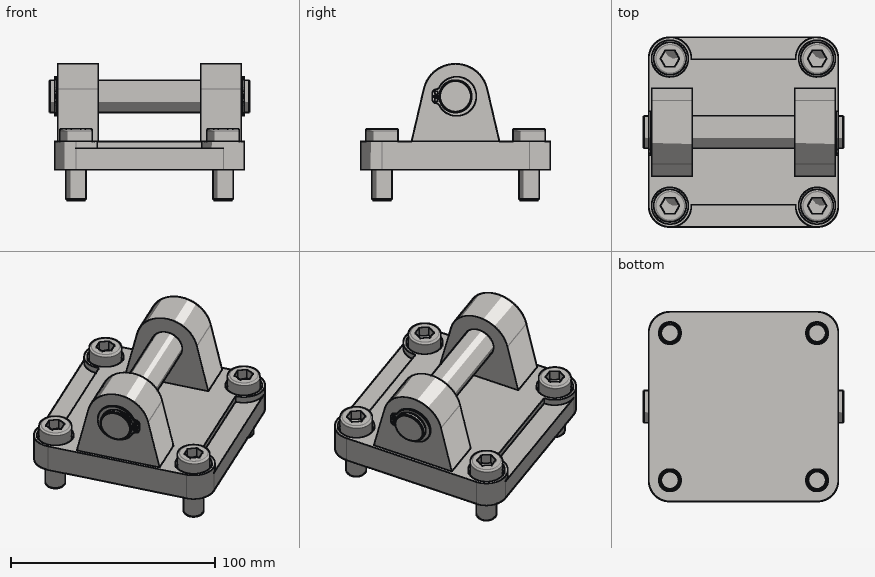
import cadquery as cq
import math


PLATE_SIDE = 93.0
PLATE_THICKNESS = 14.0
CORNER_RADIUS = 10.5
SCREW_OFFSET = PLATE_SIDE / 2 - CORNER_RADIUS
CLEARANCE_DIAMETER = 11.0
COUNTERBORE_DIAMETER = 18.0
COUNTERBORE_DEPTH = 3.8
EDGE_STEP_DEPTH = 3.3
EDGE_STEP_START = 35.6

LUG_OUTER_X = 45.0
LUG_THICKNESS = 20.0
LUG_INNER_X = LUG_OUTER_X - LUG_THICKNESS
LUG_BASE_HALF_WIDTH = 21.6
LUG_TOP_RADIUS = 16.0
PIN_ABOVE_PLATE = 22.05
PIN_HEIGHT = PLATE_THICKNESS + PIN_ABOVE_PLATE

PIN_LENGTH = 98
PIN_DIAMETER = 16.0
PIN_CHAMFER = 0.5
GROOVE_DIAMETER = 15.0

RING_THICKNESS = 1
RING_GAP = 0.5
RING_RADIUS = 9.6
RING_OFFSET = 0.6
RING_SLOT_WIDTH = 0.735
EAR_REACH = 11.4
EAR_HALF_HEIGHT = 3.4
EAR_CORNER_RADIUS = 2.1
EAR_ROOT_RADIUS = 2
EAR_HOLE_DIAMETER = 1.7
EAR_HOLE_REACH = 9.4
EAR_HOLE_OFFSET = 1.8
RING_INNER_X = LUG_OUTER_X + RING_GAP
RING_START_XS = (-RING_INNER_X - RING_THICKNESS, RING_INNER_X)

HEAD_DIAMETER = 16.0
HEAD_HEIGHT = 10.0
HEAD_FILLET = 1
SHANK_DIAMETER = 10.0
SHANK_LENGTH = 25.2
SHANK_CHAMFER_LENGTH = 1
SHANK_CHAMFER_WIDTH = 0.8
SOCKET_SIDES = 6
SOCKET_ACROSS_FLATS = 8.0
SOCKET_DEPTH = 5.0
SOCKET_CONE_SLOPE_DEGREES = 30
SCREW_SEAT_Z = PLATE_THICKNESS - COUNTERBORE_DEPTH

SCREW_POSITIONS = [(x, y) for x in (-SCREW_OFFSET, SCREW_OFFSET) for y in (-SCREW_OFFSET, SCREW_OFFSET)]


def make_plate():
    """Rounded plate with a lowered strip between the corner bosses on both Y edges."""
    plate = cq.Workplane("XY").rect(PLATE_SIDE, PLATE_SIDE).extrude(PLATE_THICKNESS)
    plate = plate.edges("|Z").fillet(CORNER_RADIUS)

    step_floor = cq.Workplane("XY", origin=(0, 0, PLATE_THICKNESS - EDGE_STEP_DEPTH))
    strip_width = PLATE_SIDE / 2 - EDGE_STEP_START
    strip_center = EDGE_STEP_START + strip_width / 2
    strips = (
        step_floor.pushPoints([(0, -strip_center), (0, strip_center)])
        .rect(2 * SCREW_OFFSET, strip_width)
        .extrude(EDGE_STEP_DEPTH)
    )
    bosses = step_floor.pushPoints(SCREW_POSITIONS).circle(CORNER_RADIUS).extrude(EDGE_STEP_DEPTH)
    return plate.cut(strips.cut(bosses))


def make_lug(start_x):
    """Tapered lug whose straight flanks run tangent into a rounded top centred on the pin."""
    base_distance = math.hypot(LUG_BASE_HALF_WIDTH, PIN_ABOVE_PLATE)
    base_angle = math.atan2(PIN_ABOVE_PLATE, LUG_BASE_HALF_WIDTH)
    flank_angle = math.acos(LUG_TOP_RADIUS / base_distance) - base_angle
    tangent_y = LUG_TOP_RADIUS * math.cos(flank_angle)
    tangent_z = PIN_HEIGHT + LUG_TOP_RADIUS * math.sin(flank_angle)
    return (
        cq.Workplane("YZ", origin=(start_x, 0, 0))
        .moveTo(-LUG_BASE_HALF_WIDTH, PLATE_THICKNESS)
        .lineTo(LUG_BASE_HALF_WIDTH, PLATE_THICKNESS)
        .lineTo(tangent_y, tangent_z)
        .threePointArc((0, PIN_HEIGHT + LUG_TOP_RADIUS), (-tangent_y, tangent_z))
        .close()
        .extrude(LUG_THICKNESS)
    )


def make_bracket():
    """Plate with two lugs, bored for the pin and counterbored for the screws."""
    bracket = make_plate()
    for lug_start_x in (-LUG_OUTER_X, LUG_INNER_X):
        bracket = bracket.union(make_lug(lug_start_x))

    pin_bore = (
        cq.Workplane("YZ", origin=(-PIN_LENGTH / 2, 0, PIN_HEIGHT))
        .circle(PIN_DIAMETER / 2)
        .extrude(PIN_LENGTH)
    )
    clearance_holes = (
        cq.Workplane("XY")
        .pushPoints(SCREW_POSITIONS)
        .circle(CLEARANCE_DIAMETER / 2)
        .extrude(PLATE_THICKNESS)
    )
    counterbores = (
        cq.Workplane("XY", origin=(0, 0, SCREW_SEAT_Z))
        .pushPoints(SCREW_POSITIONS)
        .circle(COUNTERBORE_DIAMETER / 2)
        .extrude(COUNTERBORE_DEPTH)
    )
    return bracket.cut(pin_bore).cut(clearance_holes).cut(counterbores)


def make_pin():
    """Chamfered pin with a groove for a retaining ring near each end."""
    pin = (
        cq.Workplane("YZ", origin=(-PIN_LENGTH / 2, 0, PIN_HEIGHT))
        .circle(PIN_DIAMETER / 2)
        .extrude(PIN_LENGTH)
        .faces("<X or >X")
        .chamfer(PIN_CHAMFER)
    )
    for groove_start_x in RING_START_XS:
        groove = (
            cq.Workplane("YZ", origin=(groove_start_x, 0, PIN_HEIGHT))
            .circle(PIN_DIAMETER / 2)
            .circle(GROOVE_DIAMETER / 2)
            .extrude(RING_THICKNESS)
        )
        pin = pin.cut(groove)
    return pin


def make_retaining_ring(start_x):
    """Eccentric open ring with two drilled ears on its -Y side."""
    ring_plane = cq.Workplane("YZ", origin=(start_x, 0, PIN_HEIGHT))
    body = ring_plane.center(RING_OFFSET, 0).circle(RING_RADIUS).extrude(RING_THICKNESS)
    ears = (
        ring_plane.center(-EAR_REACH / 2, 0)
        .rect(EAR_REACH, 2 * EAR_HALF_HEIGHT)
        .extrude(RING_THICKNESS)
        .edges("|X and <Y")
        .fillet(EAR_CORNER_RADIUS)
    )
    root_y = RING_OFFSET - math.sqrt(RING_RADIUS**2 - EAR_HALF_HEIGHT**2)
    ring = body.union(ears)
    for root_z in (PIN_HEIGHT - EAR_HALF_HEIGHT, PIN_HEIGHT + EAR_HALF_HEIGHT):
        root = cq.selectors.NearestToPointSelector((start_x + RING_THICKNESS / 2, root_y, root_z))
        ring = ring.edges("|X").edges(root).fillet(EAR_ROOT_RADIUS)

    bore = ring_plane.circle(GROOVE_DIAMETER / 2).extrude(RING_THICKNESS)
    slot = ring_plane.center(-EAR_REACH / 2, 0).rect(EAR_REACH, RING_SLOT_WIDTH).extrude(RING_THICKNESS)
    ear_holes = (
        ring_plane.pushPoints([(-EAR_HOLE_REACH, -EAR_HOLE_OFFSET), (-EAR_HOLE_REACH, EAR_HOLE_OFFSET)])
        .circle(EAR_HOLE_DIAMETER / 2)
        .extrude(RING_THICKNESS)
    )
    return ring.cut(bore).cut(slot).cut(ear_holes)


def make_socket():
    """Hexagonal socket, open upwards at Z = HEAD_HEIGHT, with a conical bottom."""
    across_corners = SOCKET_ACROSS_FLATS / math.cos(math.pi / SOCKET_SIDES)
    cone_radius = across_corners / 2
    cone_depth = cone_radius * math.tan(math.radians(SOCKET_CONE_SLOPE_DEGREES))
    floor_z = HEAD_HEIGHT - SOCKET_DEPTH
    hexagon = (
        cq.Workplane("XY", origin=(0, 0, floor_z - cone_depth))
        .polygon(SOCKET_SIDES, across_corners)
        .extrude(SOCKET_DEPTH + cone_depth)
    )
    drilled_profile = (
        cq.Workplane("XZ")
        .moveTo(0, floor_z - cone_depth)
        .lineTo(cone_radius, floor_z)
        .lineTo(cone_radius, HEAD_HEIGHT)
        .lineTo(0, HEAD_HEIGHT)
        .close()
    )
    return hexagon.intersect(drilled_profile.revolve(360, (0, 0, 0), (0, 1, 0)))


def make_screw(position):
    """Socket head screw seated on the floor of its counterbore."""
    head = cq.Workplane("XY").circle(HEAD_DIAMETER / 2).extrude(HEAD_HEIGHT)
    head = head.faces(">Z").edges().fillet(HEAD_FILLET)
    shank = cq.Workplane("XY").circle(SHANK_DIAMETER / 2).extrude(-SHANK_LENGTH)
    shank = shank.faces("<Z").chamfer(SHANK_CHAMFER_LENGTH, SHANK_CHAMFER_WIDTH)
    x, y = position
    return head.union(shank).cut(make_socket()).translate((x, y, SCREW_SEAT_Z))


bracket = make_bracket()
pin = make_pin()
retaining_rings = [make_retaining_ring(x) for x in RING_START_XS]
screws = [make_screw(position) for position in SCREW_POSITIONS]

result = cq.Compound.makeCompound(
    [
        bracket.val(),
        pin.val(),
        *[ring.val() for ring in retaining_rings],
        *[screw.val() for screw in screws],
    ]
)